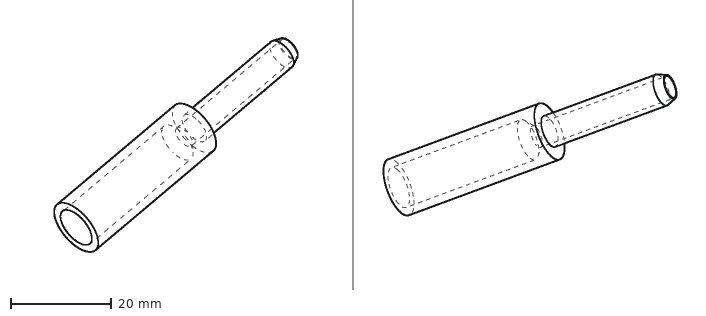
import cadquery as cq
import math

total_length = 63.0
body_length = 35.0
tip_length = 2.0

body_diameter = 12.0
pin_diameter = 6.6
tip_diameter = 5.15
bore_diameter = 8.5
through_diameter = 4.6

bore_depth = 30.0
cone_angle = 90.0

front_y = -total_length / 2
back_y = front_y + total_length
shoulder_y = front_y + body_length
tip_start_y = back_y - tip_length
bore_end_y = front_y + bore_depth
half_cone_angle = math.radians(cone_angle / 2)
cone_length = (bore_diameter - through_diameter) / 2 / math.tan(half_cone_angle)

half_section = [
    (bore_diameter / 2, front_y),
    (body_diameter / 2, front_y),
    (body_diameter / 2, shoulder_y),
    (pin_diameter / 2, shoulder_y),
    (pin_diameter / 2, tip_start_y),
    (tip_diameter / 2, back_y),
    (through_diameter / 2, back_y),
    (through_diameter / 2, bore_end_y + cone_length),
    (bore_diameter / 2, bore_end_y),
]

result = (
    cq.Workplane("XY")
    .polyline(half_section)
    .close()
    .revolve(360, (0, 0, 0), (0, 1, 0))
)